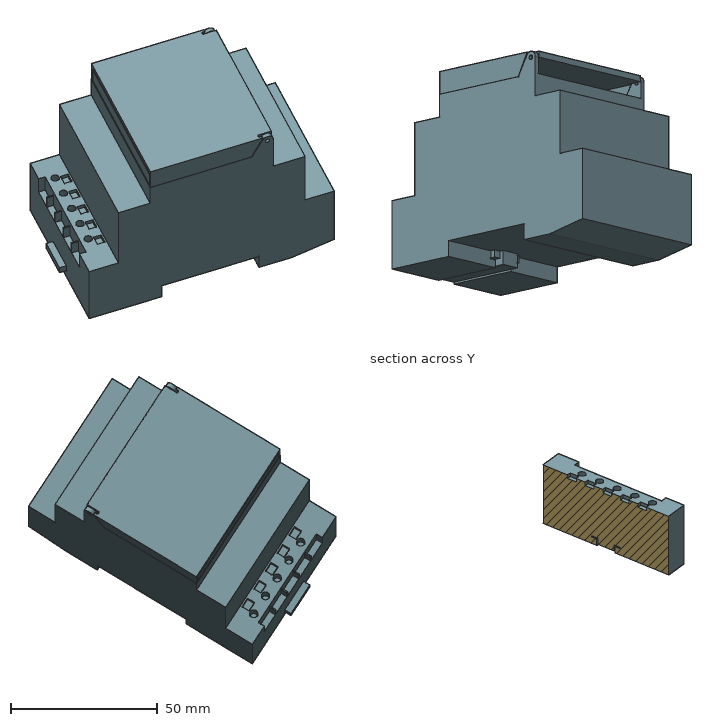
import cadquery as cq
import math


width = 53.6
base_length = 90.2
shoulder_front = 10.75
shoulder_back = 79.4
turret_front = 22.4
turret_back = 67.7
front_terrace_height = 24.0
back_terrace_height = 27.4
shoulder_height = 49.6
deck_height = 57.5
total_height = 65.5
rail_front = 26.8
rail_back = 62.45
rail_depth = 5.6
back_slope_start = 74.6
back_slope_rise = 2.8

hinge_radius = 2.1
hinge_hole_diameter = 1.5
ear_thickness = 1.6
ear_slope = 30.0
hinge_y = turret_back - hinge_radius
hinge_z = total_height - hinge_radius

lid_plate = 2.1
lid_wall = 0.9
lid_front_setback = 0.1
lid_panel_recess = 0.2
lid_panel_thickness = 0.9
lid_notch_width = 1.85
lid_notch_front = 62.8
lid_side_top_back = 63.9
lid_side_bottom_back = 59.7
lid_front = turret_front + lid_front_setback

terminal_count = 5
terminal_pitch = 7.5
terminal_divider = 0.5
terminal_row_x = -0.6
pocket_depth = 2.4
pocket_floor = 17.2
divider_top = 22.0
slot_width = 3.5
slot_length = 2.8
slot_depth = 1.4
slot_y = 8.7
screw_hole_diameter = 2.8
screw_hole_depth = 4.6
screw_hole_y = 5.4
screw_hole_shift = -1.8

clip_width = 12.0
clip_stem_width = 7.0
clip_clearance = 0.3
clip_front = -2.5
clip_bar_back = 28.6
clip_back = 30.2
clip_bar_bottom = 3.1
clip_bottom = 0.65


def block(x_min, x_max, y_min, y_max, z_min, z_max):
    size = (x_max - x_min, y_max - y_min, z_max - z_min)
    return cq.Workplane("XY").box(*size, centered=False).translate((x_min, y_min, z_min))


def centered_block(x_size, y_min, y_max, z_min, z_max):
    return block(-x_size / 2, x_size / 2, y_min, y_max, z_min, z_max)


def mirrored_pair(left):
    return left.union(left.mirror("YZ"))


def housing_profile():
    return (
        cq.Workplane("YZ", origin=(-width / 2, 0, 0))
        .moveTo(0, 0)
        .lineTo(0, front_terrace_height)
        .lineTo(shoulder_front, front_terrace_height)
        .lineTo(shoulder_front, shoulder_height)
        .lineTo(turret_front, shoulder_height)
        .lineTo(turret_front, deck_height)
        .lineTo(turret_back, deck_height)
        .lineTo(turret_back, shoulder_height)
        .lineTo(shoulder_back, shoulder_height)
        .lineTo(shoulder_back, back_terrace_height)
        .lineTo(base_length, back_terrace_height)
        .lineTo(base_length, back_slope_rise)
        .lineTo(back_slope_start, 0)
        .lineTo(rail_back, 0)
        .lineTo(rail_back, rail_depth)
        .lineTo(rail_front, rail_depth)
        .lineTo(rail_front, 0)
        .close()
        .extrude(width)
    )


def hinge_ear():
    slope = math.radians(ear_slope)
    tangent_y = hinge_y - hinge_radius * math.cos(slope)
    tangent_z = hinge_z + hinge_radius * math.sin(slope)
    foot_y = tangent_y - (tangent_z - deck_height) * math.tan(slope)
    return (
        cq.Workplane("YZ", origin=(-width / 2, 0, 0))
        .moveTo(turret_back, deck_height)
        .lineTo(turret_back, hinge_z)
        .threePointArc((hinge_y, total_height), (tangent_y, tangent_z))
        .lineTo(foot_y, deck_height)
        .close()
        .moveTo(hinge_y, hinge_z)
        .circle(hinge_hole_diameter / 2)
        .extrude(ear_thickness)
    )


def terminal_pocket():
    length = terminal_count * terminal_pitch - terminal_divider
    left = terminal_row_x - length / 2
    pocket = block(left, left + length, 0, pocket_depth, pocket_floor, front_terrace_height)
    for i in range(1, terminal_count):
        divider_x = left + i * terminal_pitch - terminal_divider
        pocket = pocket.cut(
            block(divider_x, divider_x + terminal_divider, 0, pocket_depth, pocket_floor, divider_top)
        )
    return pocket


def terminal_openings():
    cells = [
        terminal_row_x + (i - (terminal_count - 1) / 2) * terminal_pitch for i in range(terminal_count)
    ]
    terrace = cq.Workplane("XY", origin=(0, 0, front_terrace_height))
    slots = (
        terrace.pushPoints([(x, slot_y) for x in cells]).rect(slot_width, slot_length).extrude(-slot_depth)
    )
    screws = (
        terrace.pushPoints([(x + screw_hole_shift, screw_hole_y) for x in cells])
        .circle(screw_hole_diameter / 2)
        .extrude(-screw_hole_depth)
    )
    return slots.union(screws)


def clip_channel():
    bar = centered_block(clip_width, 0, rail_front, clip_bar_bottom - clip_clearance, rail_depth)
    stem = centered_block(clip_stem_width + 2 * clip_clearance, 0, rail_front, 0, rail_depth)
    return bar.union(stem)


def rail_clip():
    bar = centered_block(clip_width, clip_front, clip_bar_back, clip_bar_bottom, rail_depth)
    stem = centered_block(clip_stem_width, 0, clip_back, clip_bottom, rail_depth)
    return bar.union(stem)


def make_housing():
    return (
        housing_profile()
        .union(mirrored_pair(hinge_ear()))
        .cut(terminal_pocket())
        .cut(terminal_openings())
        .cut(clip_channel())
        .union(rail_clip())
    )


def lid_side_wall():
    return (
        cq.Workplane("YZ", origin=(-width / 2, 0, 0))
        .moveTo(lid_front, deck_height)
        .lineTo(lid_front, total_height)
        .lineTo(lid_side_top_back, total_height)
        .lineTo(lid_side_bottom_back, deck_height)
        .close()
        .extrude(lid_wall)
    )


def make_lid():
    plate_bottom = total_height - lid_plate
    front_plate = centered_block(width, lid_front, lid_notch_front, plate_bottom, total_height)
    back_plate = centered_block(
        width - 2 * lid_notch_width, lid_notch_front, turret_back, plate_bottom, total_height
    )
    panel_front = lid_front + lid_panel_recess
    panel = centered_block(
        width - 2 * lid_wall, panel_front, panel_front + lid_panel_thickness, deck_height, plate_bottom
    )
    return front_plate.union(back_plate).union(mirrored_pair(lid_side_wall())).union(panel)


housing = make_housing()
lid = make_lid()
result = cq.Compound.makeCompound([housing.val(), lid.val()])